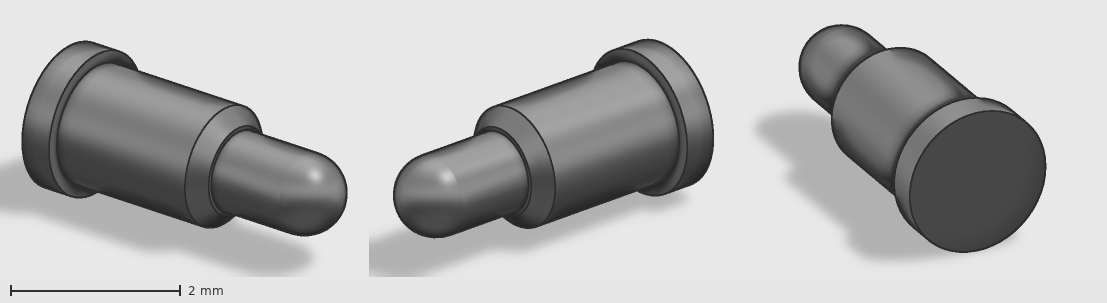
import cadquery as cq
import math

total_length = 4.0

flange_radius = 1.8 / 2
flange_thickness = 0.4

barrel_radius = 1.5 / 2
barrel_end = 2.5
barrel_chamfer = 0.2

plunger_radius = 1.0 / 2
tip_start = total_length - plunger_radius

tip_mid_x = tip_start + plunger_radius * math.cos(math.pi / 4)
tip_mid_radius = plunger_radius * math.sin(math.pi / 4)


def half_profile():
    """Closed half section in the XY plane, on the -Y side of the axis."""
    return (
        cq.Workplane("XY")
        .moveTo(0, 0)
        .lineTo(0, -flange_radius)
        .lineTo(flange_thickness, -flange_radius)
        .lineTo(flange_thickness, -barrel_radius)
        .lineTo(barrel_end - barrel_chamfer, -barrel_radius)
        .lineTo(barrel_end, -(barrel_radius - barrel_chamfer))
        .lineTo(barrel_end, -plunger_radius)
        .lineTo(tip_start, -plunger_radius)
        .threePointArc((tip_mid_x, -tip_mid_radius), (total_length, 0))
        .close()
    )


result = half_profile().revolve(360, (0, 0, 0), (1, 0, 0))